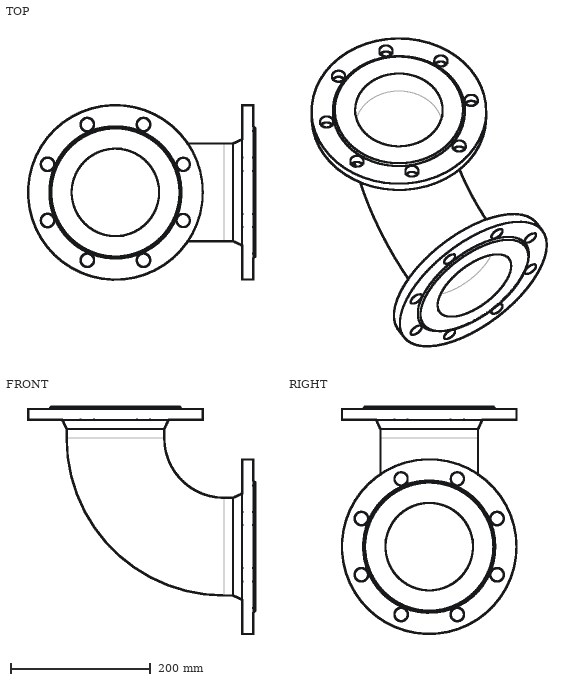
import cadquery as cq

overall = 325.0
flange_dia = 250.0
flange_thick = 16.0
face_height = 3.0
face_base_dia = 189.0
face_top_dia = 183.3
hub_dia = 152.0
hub_length = 13.0
pipe_dia = 140.0
bore_dia = 125.0
bend_radius = 155.0
bolt_hole_dia = 19.0
bolt_circle_dia = 210.0
bolt_count = 8

axis_to_face = overall - flange_dia / 2
straight_length = axis_to_face - bend_radius
flange_back = face_height + flange_thick
hub_end = flange_back + hub_length

top_face = cq.Plane(origin=(0, 0, axis_to_face), xDir=(1, 0, 0), normal=(0, 0, -1))
side_face = cq.Plane(origin=(axis_to_face, 0, 0), xDir=(0, 1, 0), normal=(-1, 0, 0))


def elbow(diameter):
    """Solid 90 degree elbow running between the two sealing faces."""
    straight_top = cq.Workplane(top_face).circle(diameter / 2).extrude(straight_length)
    straight_side = cq.Workplane(side_face).circle(diameter / 2).extrude(straight_length)
    bend = (
        cq.Workplane("XY", origin=(0, 0, bend_radius))
        .circle(diameter / 2)
        .revolve(90, (bend_radius, 0, 0), (bend_radius, -1, 0))
    )
    return straight_top.union(bend).union(straight_side)


def weld_neck_flange(face):
    """Flange with a tapered raised face and a conical hub, turned about the pipe axis."""
    profile = [
        (0, 0),
        (face_top_dia / 2, 0),
        (face_base_dia / 2, face_height),
        (flange_dia / 2, face_height),
        (flange_dia / 2, flange_back),
        (hub_dia / 2, flange_back),
        (pipe_dia / 2, hub_end),
        (0, hub_end),
    ]
    section = cq.Plane(origin=face.origin, xDir=face.xDir, normal=face.xDir.cross(face.zDir))
    return cq.Workplane(section).polyline(profile).close().revolve(360, (0, 0, 0), (0, 1, 0))


def bolt_holes(face):
    """Ring of through holes straddling the flange centrelines."""
    return (
        cq.Workplane(face)
        .polarArray(bolt_circle_dia / 2, 180 / bolt_count, 360, bolt_count)
        .circle(bolt_hole_dia / 2)
        .extrude(flange_back)
    )


result = elbow(pipe_dia)
for face in (top_face, side_face):
    result = result.union(weld_neck_flange(face)).cut(bolt_holes(face))
result = result.cut(elbow(bore_dia))